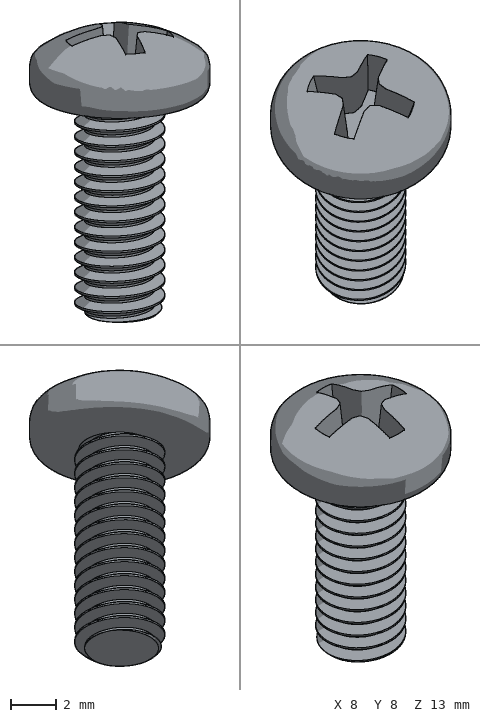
import cadquery as cq
import math

head_radius = 4.0
head_height = 3.1
dome_radius = 6.35
rim_fillet = 0.6

thread_radius = 2.0
pitch = 0.7
shank_length = 10.0
root_radius = 1.56
crest_width = pitch / 8
flank_angle = 30.0
crest_height = -9.41
spare_turns = 2
end_chamfer = 0.28

recess_floor = 0.7
arm_floor_half_width = 0.28
arm_draft = 5.2
arm_floor_reach = 1.93
arm_end_slope = 13.5
facet_start = 0.97
facet_angle = 22.0
corner_floor_radius = 0.32

clearance = 0.5


def make_head():
    """Filleted disc topped by a spherical dome, revolved about Z."""
    dome_centre = head_height - dome_radius
    dome_edge = dome_centre + math.sqrt(dome_radius**2 - head_radius**2)
    half_angle = math.asin(head_radius / dome_radius) / 2
    dome_middle = (
        dome_radius * math.sin(half_angle),
        dome_centre + dome_radius * math.cos(half_angle),
    )
    head = (
        cq.Workplane("XZ")
        .lineTo(head_radius, 0)
        .lineTo(head_radius, dome_edge)
        .threePointArc(dome_middle, (0, head_height))
        .close()
        .revolve(360, (0, 0), (0, 1))
    )
    rim = cq.selectors.BoxSelector(
        (-2 * head_radius, -2 * head_radius, -clearance),
        (2 * head_radius, 2 * head_radius, dome_edge + clearance),
        boundingbox=True,
    )
    return head.edges("%CIRCLE").edges(rim).fillet(rim_fillet)


def make_recess():
    """Cross with drafted side walls, its arms ended by a cone."""
    depth = head_height - recess_floor
    end_growth = depth * math.tan(math.radians(arm_end_slope))
    arm_length = arm_floor_reach + 2 * end_growth
    facet = math.radians(facet_angle)
    facet_length = (facet_start - arm_floor_half_width) / (math.sin(facet) + math.cos(facet))
    facet_meeting = arm_floor_half_width + facet_length * math.sin(facet)
    quadrant = [
        (arm_length, arm_floor_half_width),
        (facet_start, arm_floor_half_width),
        (facet_meeting, facet_meeting),
        (arm_floor_half_width, facet_start),
        (arm_floor_half_width, arm_length),
    ]
    outline_points = []
    for _ in range(4):
        outline_points += quadrant
        quadrant = [(-y, x) for x, y in quadrant]
    corners = cq.selectors.BoxSelector(
        (-arm_floor_reach, -arm_floor_reach, -clearance),
        (arm_floor_reach, arm_floor_reach, clearance),
    )
    outline = (
        cq.Sketch()
        .polygon([*outline_points, outline_points[0]])
        .vertices(corners)
        .fillet(corner_floor_radius)
        .reset()
    )
    cross = (
        cq.Workplane("XY", origin=(0, 0, recess_floor))
        .placeSketch(outline)
        .extrude(depth, taper=-arm_draft)
    )
    ends = cq.Workplane(
        cq.Solid.makeCone(
            arm_floor_reach,
            arm_floor_reach + end_growth,
            depth,
            cq.Vector(0, 0, recess_floor),
        )
    )
    return cross.intersect(ends)


def helix_edge(radius, height):
    """One right-handed turn about Z, starting on the +X side at the given height."""
    turn = cq.Wire.makeHelix(pitch, pitch, radius)
    return turn.translate(cq.Vector(0, 0, height)).Edges()[0]


def make_thread_end(profile, height):
    """Faces closing the rod: a helicoid down to the axis and the flat step it leaves on the +X side."""
    first_radius, first_offset = profile[0]
    last_offset = profile[-1][1]
    axis_low = cq.Vector(0, 0, height + first_offset)
    axis_high = cq.Vector(0, 0, height + last_offset)
    helicoid = cq.Face.makeRuledSurface(
        helix_edge(first_radius, height + first_offset),
        cq.Edge.makeLine(axis_low, axis_high),
    )
    step_corners = [cq.Vector(radius, 0, height + offset) for radius, offset in profile]
    step = cq.Face.makeFromWires(cq.Wire.makePolygon([axis_low, *step_corners, axis_high], close=True))
    return [helicoid, step]


def make_threaded_rod():
    """Threaded rod that runs past both ends of the shank, sewn from helical strips."""
    slope = math.tan(math.radians(flank_angle))
    crest_half = crest_width / 2
    base_half = crest_half + (thread_radius - root_radius) * slope
    profile = [
        (root_radius, -base_half),
        (thread_radius, -crest_half),
        (thread_radius, crest_half),
        (root_radius, base_half),
        (root_radius, pitch - base_half),
    ]
    bottom = crest_height - spare_turns * pitch
    turns = math.ceil(shank_length / pitch) + 2 * spare_turns
    faces = []
    for turn in range(turns):
        height = bottom + turn * pitch
        for (radius, offset), (next_radius, next_offset) in zip(profile, profile[1:]):
            lower = helix_edge(radius, height + offset)
            upper = helix_edge(next_radius, height + next_offset)
            faces.append(cq.Face.makeRuledSurface(lower, upper))
    faces += make_thread_end(profile, bottom)
    faces += make_thread_end(profile, bottom + turns * pitch)
    return cq.Workplane(cq.Solid.makeSolid(cq.Shell.makeShell(faces)))


def make_shank():
    """Threaded rod trimmed to the shank length, with its free end chamfered."""
    envelope = (
        cq.Workplane("XY")
        .circle(thread_radius + clearance)
        .extrude(-shank_length)
        .faces("<Z")
        .chamfer(end_chamfer + clearance)
    )
    return make_threaded_rod().intersect(envelope)


result = make_head().union(make_shank()).cut(make_recess())